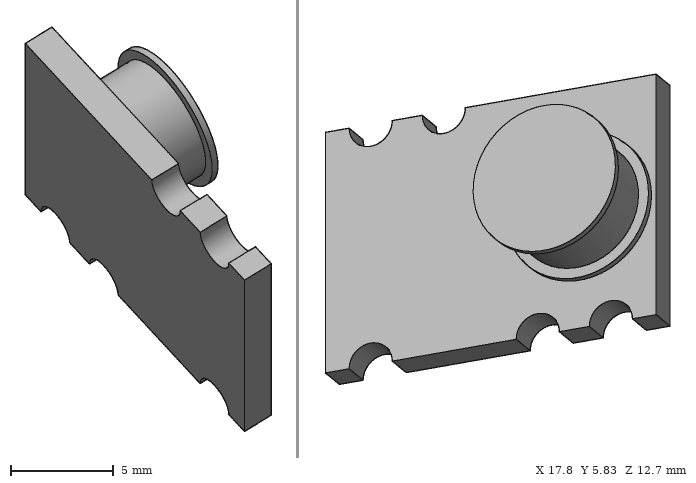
import cadquery as cq

plate_length = 17.78
plate_height = 12.7
plate_thickness = 1.64

notch_radius = 1.15
outer_notch_x = 6.45
notch_pitch = 3.93
inner_notch_x = outer_notch_x - notch_pitch
top_notch_positions = [inner_notch_x, outer_notch_x]
bottom_notch_positions = [-outer_notch_x, -inner_notch_x, outer_notch_x]

overall_depth = 5.83
spool_x = -4.82
flange_diameter = 7.65
core_diameter = 6.58
flange_thickness = 0.35
spool_length = overall_depth - plate_thickness
core_length = spool_length - 2 * flange_thickness


def disc(diameter, length, x, z, start_y):
    """Solid cylinder along +Y, starting at start_y."""
    return cq.Workplane(
        cq.Solid.makeCylinder(
            diameter / 2, length, cq.Vector(x, start_y, z), cq.Vector(0, 1, 0)
        )
    )


def make_plate():
    plate = cq.Workplane("XY").box(
        plate_length, plate_thickness, plate_height, centered=(True, False, True)
    )
    edges = [
        (plate_height / 2, top_notch_positions),
        (-plate_height / 2, bottom_notch_positions),
    ]
    for edge_z, positions in edges:
        for x in positions:
            plate = plate.cut(disc(2 * notch_radius, plate_thickness, x, edge_z, 0))
    return plate


def make_spool():
    core_start = plate_thickness + flange_thickness
    outer_flange_start = core_start + core_length
    inner_flange = disc(flange_diameter, flange_thickness, spool_x, 0, plate_thickness)
    core = disc(core_diameter, core_length, spool_x, 0, core_start)
    outer_flange = disc(flange_diameter, flange_thickness, spool_x, 0, outer_flange_start)
    return inner_flange.union(core).union(outer_flange)


result = make_plate().union(make_spool())